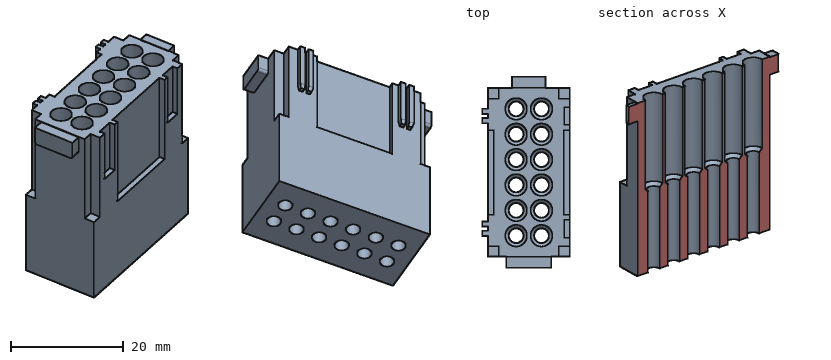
import cadquery as cq

body_x = 14.6
body_y = 30.0
overall_y = 34.0
height = 34.4

shoulder_depth = 17.6
shoulder_z = height - shoulder_depth
notch_x = 2.0
notch_y = 1.9
recess_depth = 1.1
recess_width = 15.0

columns = 2
rows = 6
contact_pitch = 4.5
cavity_diameter = 3.85
bore_diameter = 2.58
cavity_depth = shoulder_depth
cone_depth = (cavity_diameter - bore_diameter) / 2

guide_spacing = 20.02
rib_height = 1.0
rib_width = 0.95
rib_gap = 0.7
rib_length = 10.1
rib_tip_length = 0.95
rib_tip_taper = 0.25
groove_width = 3.15
groove_depth = 1.03

tab_length = (overall_y - body_y) / 2
front_tab_width = 8.0
back_tab_width = 6.0
tab_height = 3.58
tab_drop = 0.1
tab_radius = 0.5


def corner_notch(x_sign, y_sign):
    """Square notch running down one vertical edge to the shoulder."""
    return (
        cq.Workplane("XY", origin=(x_sign * body_x / 2, y_sign * body_y / 2, shoulder_z))
        .rect(2 * notch_x, 2 * notch_y)
        .extrude(shoulder_depth)
    )


def side_recess(x_sign):
    """Wide shallow recess in one long side, open at the top."""
    return (
        cq.Workplane("XY", origin=(x_sign * body_x / 2, 0, shoulder_z))
        .rect(2 * recess_depth, recess_width)
        .extrude(shoulder_depth)
    )


def contact_cavity():
    """Stepped through bore on the Z axis: wide cavity, conical seat, narrow bore."""
    cone_top = height - cavity_depth
    cone_bottom = cone_top - cone_depth
    return (
        cq.Workplane("XZ")
        .moveTo(0, 0)
        .lineTo(bore_diameter / 2, 0)
        .lineTo(bore_diameter / 2, cone_bottom)
        .lineTo(cavity_diameter / 2, cone_top)
        .lineTo(cavity_diameter / 2, height)
        .lineTo(0, height)
        .close()
        .revolve(360, (0, 0), (0, 1))
    )


def guide_rib(pair_y, side):
    """One rib of a pair; its tip tapers on the outer face and on the flank away from its partner."""
    root_x = -body_x / 2
    tip_z = height - rib_length
    taper_z = tip_z + rib_tip_length
    profile = [
        (root_x, height),
        (root_x - rib_height, height),
        (root_x - rib_height, taper_z),
        (root_x - rib_height + rib_tip_taper, tip_z),
        (root_x, tip_z),
    ]
    inner_y = pair_y + side * rib_gap / 2
    outer_y = inner_y + side * rib_width
    flank = [
        (inner_y, height),
        (outer_y, height),
        (outer_y, taper_z),
        (outer_y - side * rib_tip_taper, tip_z),
        (inner_y, tip_z),
    ]
    side_shape = cq.Workplane("XZ").polyline(profile).close().extrude(body_y, both=True)
    flank_shape = cq.Workplane("YZ").polyline(flank).close().extrude(body_x, both=True)
    return side_shape.intersect(flank_shape)


def guide_groove(pair_y):
    """Groove in the +X side, as long as the ribs and open at the top."""
    return (
        cq.Workplane("XY", origin=(body_x / 2, pair_y, height - rib_length))
        .rect(2 * groove_depth, groove_width)
        .extrude(rib_length)
    )


def latch_tab(y_sign, width):
    """Tab on one end face with its two lower edges rounded."""
    center_y = y_sign * (body_y + tab_length) / 2
    center_z = height - tab_drop - tab_height / 2
    tab = cq.Workplane("XY", origin=(0, center_y, center_z)).box(width, tab_length, tab_height)
    return tab.edges("|Y and <Z").fillet(tab_radius)


result = cq.Workplane("XY").box(body_x, body_y, height, centered=(True, True, False))

for x_sign in (-1, 1):
    result = result.cut(side_recess(x_sign))
    for y_sign in (-1, 1):
        result = result.cut(corner_notch(x_sign, y_sign))

for pair_y in (-guide_spacing / 2, guide_spacing / 2):
    result = result.cut(guide_groove(pair_y))
    for side in (-1, 1):
        result = result.union(guide_rib(pair_y, side))

result = result.union(latch_tab(-1, front_tab_width))
result = result.union(latch_tab(1, back_tab_width))

for column in range(columns):
    for row in range(rows):
        x = (column - (columns - 1) / 2) * contact_pitch
        y = (row - (rows - 1) / 2) * contact_pitch
        result = result.cut(contact_cavity().translate((x, y, 0)))